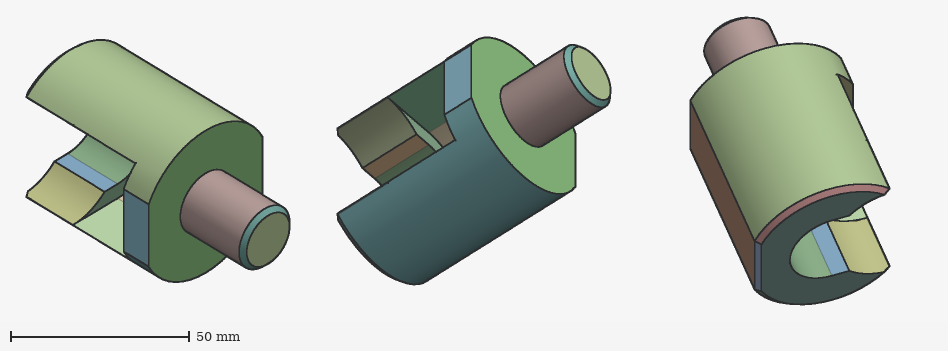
import cadquery as cq

total_length = 80.0
body_diameter = 50.0
width_across_flats = 45.0
stud_length = 25.0
stud_diameter = 20.0
chamfer = 1.5

end_wall = 10.0
neck_depth = 20.0
neck_width = 25.0
pocket_width = 35.0
relief_offset = 17.5

body_length = total_length - stud_length
pocket_depth = body_length - end_wall


def make_body():
    """Round body with flats on both Y sides and a chamfered open end."""
    cylinder = cq.Workplane("YZ").circle(body_diameter / 2).extrude(body_length)
    flats = cq.Workplane("YZ").rect(width_across_flats, body_diameter).extrude(body_length)
    return cylinder.intersect(flats).faces("<X").chamfer(chamfer)


def make_stud():
    """Plain stud with a chamfered tip."""
    stud = cq.Workplane("YZ", origin=(body_length, 0, 0)).circle(stud_diameter / 2).extrude(stud_length)
    return stud.faces(">X").chamfer(chamfer)


def make_slot(width, start, end):
    """Slot cutter with a round bottom centred on the axis, running out past the -Y side."""
    radius = width / 2
    return (
        cq.Workplane("YZ", origin=(start, 0, 0))
        .moveTo(-body_diameter, radius)
        .lineTo(0, radius)
        .threePointArc((radius, 0), (0, -radius))
        .lineTo(-body_diameter, -radius)
        .close()
        .extrude(end - start)
    )


neck = make_slot(neck_width, 0, neck_depth)
pocket = make_slot(pocket_width, neck_depth, pocket_depth)

relief = make_slot(pocket_width, 0, neck_depth).translate((0, -relief_offset, 0))

result = make_body().union(make_stud()).cut(neck).cut(relief).cut(pocket)